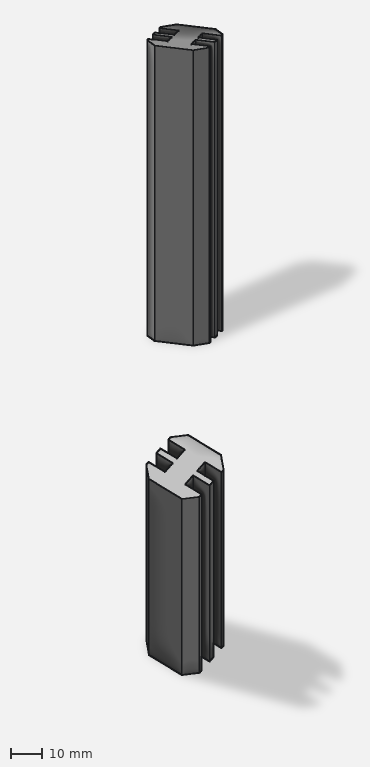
import cadquery as cq

width = 21.0
length = 100.0
corner_chamfer = 4.0

core_width = 8.0
fin_thickness = 2.2
slot_width = 4.2

slot_depth = (width - core_width) / 2
slot_center_x = (core_width + slot_depth) / 2
slot_center_y = (fin_thickness + slot_width) / 2


def make_bar():
    """Square bar standing on the XY plane, with its four long edges chamfered."""
    bar = cq.Workplane("XY").rect(width, width).extrude(length)
    return bar.edges("|Z").chamfer(corner_chamfer)


def make_slots():
    """Four full-length slots, a pair open to each X side."""
    centers = [(sx * slot_center_x, sy * slot_center_y) for sx in (-1, 1) for sy in (-1, 1)]
    return cq.Workplane("XY").pushPoints(centers).rect(slot_depth, slot_width).extrude(length)


result = make_bar().cut(make_slots())